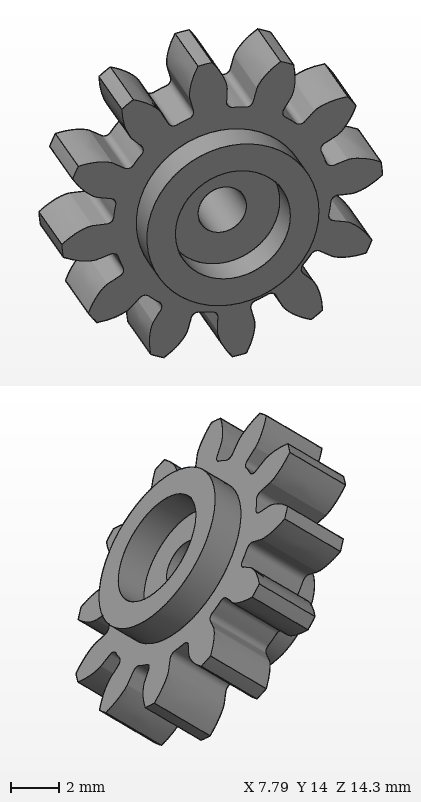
import cadquery as cq
import math

TOOTH_COUNT = 12
TIP_DIAMETER = 14.0
PRESSURE_ANGLE = math.radians(20)
GEAR_WIDTH = 3
TOOTH_PHASE = 1
FLANK_START_RADIUS = 5.65
FLANK_FOOT_HALF_WIDTH = 0.69
ROOT_FILLET = 0.29
FLANK_POINTS = 8

DEDENDUM_FACTOR = 1.25
TOLERANCE = 0.001

MODULE = TIP_DIAMETER / (TOOTH_COUNT + 2)
PITCH_RADIUS = MODULE * TOOTH_COUNT / 2
TIP_RADIUS = TIP_DIAMETER / 2
ROOT_RADIUS = PITCH_RADIUS - DEDENDUM_FACTOR * MODULE
BASE_RADIUS = PITCH_RADIUS * math.cos(PRESSURE_ANGLE)

BOSS_DIAMETER = 5
BOSS_LENGTH = 2
FLANGE_DIAMETER = 7.5
FLANGE_LENGTH = 1.39
HOLE_DIAMETER = 2.1
BORE_DIAMETER = 5
BORE_DEPTH = FLANGE_LENGTH

AXLE_TILT = 15


def involute(pressure_angle):
    return math.tan(pressure_angle) - pressure_angle


def flank_point(radius):
    """Point on the upper flank of the tooth that is centred on +X."""
    local_pressure = math.acos(BASE_RADIUS / radius)
    pitch_half_angle = math.pi / (2 * TOOTH_COUNT)
    angle = pitch_half_angle + involute(PRESSURE_ANGLE) - involute(local_pressure)
    return radius * math.cos(angle), radius * math.sin(angle)


def mirrored(point):
    return point[0], -point[1]


def make_tooth():
    step = (TIP_RADIUS - FLANK_START_RADIUS) / (FLANK_POINTS - 1)
    flank = [flank_point(FLANK_START_RADIUS + i * step) for i in range(FLANK_POINTS)]
    opposite_flank = [mirrored(point) for point in flank]
    foot = (math.sqrt(ROOT_RADIUS**2 - FLANK_FOOT_HALF_WIDTH**2), FLANK_FOOT_HALF_WIDTH)
    return (
        cq.Workplane("XY")
        .moveTo(0, 0)
        .lineTo(*mirrored(foot))
        .lineTo(*opposite_flank[0])
        .spline(opposite_flank[1:], includeCurrent=True)
        .threePointArc((TIP_RADIUS, 0), flank[-1])
        .spline(flank[-2::-1], includeCurrent=True)
        .lineTo(*foot)
        .close()
        .extrude(GEAR_WIDTH)
    )


def is_root_corner(edge):
    middle = edge.Center()
    return abs(math.hypot(middle.x, middle.y) - ROOT_RADIUS) < TOLERANCE


def make_gear():
    gear = cq.Workplane("XY").circle(ROOT_RADIUS).extrude(GEAR_WIDTH)
    tooth = make_tooth()
    for i in range(TOOTH_COUNT):
        angle = TOOTH_PHASE + i * 360 / TOOTH_COUNT
        gear = gear.union(tooth.rotate((0, 0, 0), (0, 0, 1), angle))
    root_corners = [edge for edge in gear.edges("|Z").vals() if is_root_corner(edge)]
    return gear.newObject(root_corners).fillet(ROOT_FILLET)


def make_cylinder(diameter, start, length):
    return cq.Workplane("XY").workplane(offset=start).circle(diameter / 2).extrude(length)


total_length = BOSS_LENGTH + GEAR_WIDTH + FLANGE_LENGTH
flange_end = GEAR_WIDTH + FLANGE_LENGTH
boss = make_cylinder(BOSS_DIAMETER, -BOSS_LENGTH, BOSS_LENGTH)
flange = make_cylinder(FLANGE_DIAMETER, GEAR_WIDTH, FLANGE_LENGTH)
hole = make_cylinder(HOLE_DIAMETER, -BOSS_LENGTH, total_length)
bore = make_cylinder(BORE_DIAMETER, flange_end - BORE_DEPTH, BORE_DEPTH)
upright_part = make_gear().union(boss).union(flange).cut(hole).cut(bore)

result = upright_part.rotate((0, 0, 0), (0, 1, 0), 90 - AXLE_TILT)